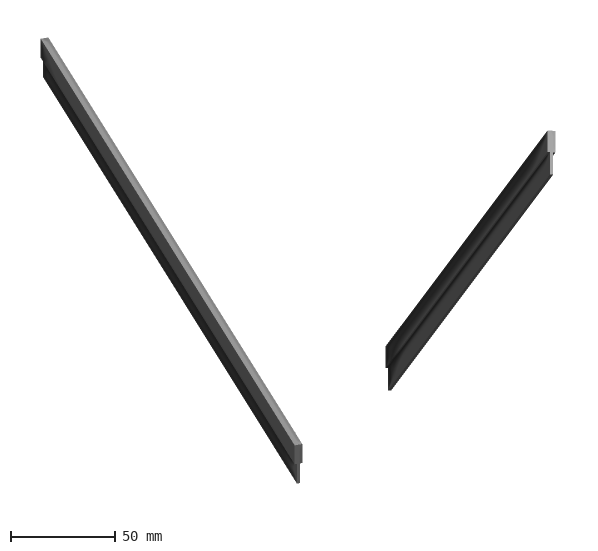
import cadquery as cq

length = 384.0
holder_thickness = 4.0
total_height = 22.0

holder_height = 10.8
strip_thickness = 1.5
strip_height = total_height - holder_height


def centred_bar(thickness, height, bottom):
    """Full-length bar centred on X and Y, standing on the given Z level."""
    bar = cq.Workplane("XY").box(length, thickness, height, centered=(True, True, False))
    return bar.translate((0, 0, bottom))


strip = centred_bar(strip_thickness, strip_height, 0)
holder = centred_bar(holder_thickness, holder_height, strip_height)

result = strip.union(holder)